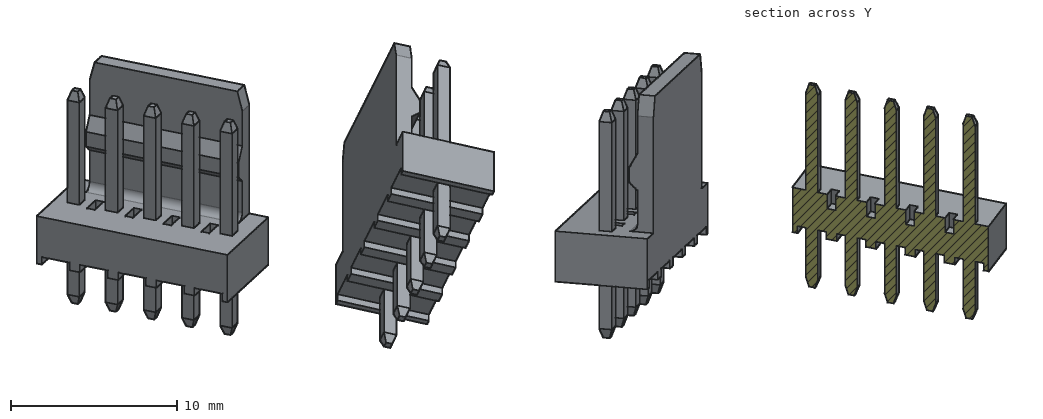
import cadquery as cq

pin_count = 5
pitch = 2.54
pin_width = 0.8
pin_tip_width = 0.4
pin_tip_height = 0.61
pin_bottom = -3.58
pin_top = 10.61

base_length = pin_count * pitch
base_width = 5.8
base_height = 3.17
back_y = base_width / 2

channel_width = 1.85
channel_height = 0.5

slot_length = 0.52
slot_width = 1.25
slot_depth = 1.0

wall_length = (pin_count - 1) * pitch
wall_thickness = 1.0
wall_top = 11.68
wall_corner_length = 0.33
wall_corner_height = 1.23
wall_root_radius = 0.5

rib_projection = 0.52
rib_bottom = 5.75
rib_lower_edge = 6.22
rib_upper_edge = 7.2
rib_top = 8.1


def row_positions(count):
    """X positions of `count` items spaced by the pitch and centred on X = 0."""
    return [(i - (count - 1) / 2) * pitch for i in range(count)]


def make_base():
    base = cq.Workplane("XY").box(base_length, base_width, base_height, centered=(True, True, False))
    for x in row_positions(pin_count):
        channel = cq.Workplane("XY").box(
            channel_width, base_width, channel_height, centered=(True, True, False)
        )
        base = base.cut(channel.translate((x, 0, 0)))
    for x in row_positions(pin_count - 1):
        slot = cq.Workplane("XY").box(slot_length, slot_width, slot_depth, centered=(True, True, False))
        base = base.cut(slot.translate((x, 0, base_height - slot_depth)))
    return base


def make_wall():
    """Wall with its latch rib and root fillet, trimmed at the two top corners."""
    inner_y = back_y - wall_thickness
    rib_y = inner_y - rib_projection
    half_length = wall_length / 2
    wall = (
        cq.Workplane("YZ")
        .moveTo(back_y, base_height)
        .lineTo(back_y, wall_top)
        .lineTo(inner_y, wall_top)
        .lineTo(inner_y, rib_top)
        .lineTo(rib_y, rib_upper_edge)
        .lineTo(rib_y, rib_lower_edge)
        .lineTo(inner_y, rib_bottom)
        .lineTo(inner_y, base_height + wall_root_radius)
        .radiusArc((inner_y - wall_root_radius, base_height), wall_root_radius)
        .close()
        .extrude(half_length, both=True)
    )
    for side in (-1, 1):
        corner = (
            cq.Workplane("XZ")
            .moveTo(side * half_length, wall_top)
            .lineTo(side * (half_length - wall_corner_length), wall_top)
            .lineTo(side * half_length, wall_top - wall_corner_height)
            .close()
            .extrude(base_width, both=True)
        )
        wall = wall.cut(corner)
    return wall


def make_tip(shoulder_z, direction):
    """Square taper from a pin shoulder; direction is +1 for up and -1 for down."""
    return (
        cq.Workplane("XY", origin=(0, 0, shoulder_z))
        .rect(pin_width, pin_width)
        .workplane(offset=direction * pin_tip_height)
        .rect(pin_tip_width, pin_tip_width)
        .loft()
    )


def make_pin():
    lower_shoulder = pin_bottom + pin_tip_height
    upper_shoulder = pin_top - pin_tip_height
    shank = (
        cq.Workplane("XY", origin=(0, 0, lower_shoulder))
        .rect(pin_width, pin_width)
        .extrude(upper_shoulder - lower_shoulder)
    )
    return shank.union(make_tip(upper_shoulder, 1)).union(make_tip(lower_shoulder, -1))


result = make_base().union(make_wall())
for pin_x in row_positions(pin_count):
    result = result.union(make_pin().translate((pin_x, 0, 0)))